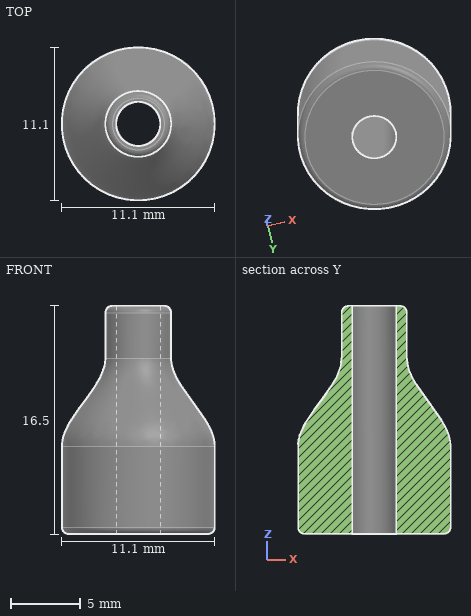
import cadquery as cq

body_diameter = 11.08
neck_diameter = 4.76
bore_diameter = 3.175
total_height = 16.51
shoulder_start = 6.35
shoulder_end = 12.7
edge_radius = 0.508

body_radius = body_diameter / 2
neck_radius = neck_diameter / 2
bore_radius = bore_diameter / 2


def revolved_reducer():
    """Body, S-shaped shoulder and neck, revolved about Z with a through bore."""
    handle = (shoulder_end - shoulder_start) / 3
    shoulder_curve = [
        (body_radius, shoulder_start),
        (body_radius, shoulder_start + handle),
        (neck_radius, shoulder_end - handle),
        (neck_radius, shoulder_end),
    ]
    profile = (
        cq.Workplane("XZ")
        .moveTo(bore_radius, 0)
        .lineTo(body_radius, 0)
        .lineTo(body_radius, shoulder_start)
        .bezier(shoulder_curve)
        .lineTo(neck_radius, total_height)
        .lineTo(bore_radius, total_height)
        .close()
    )
    return profile.revolve(360, (0, 0, 0), (0, 1, 0))


def round_outer_edges(part):
    """Round the outer rim at the bottom of the body and the top of the neck."""
    outer_rim = cq.selectors.RadiusNthSelector(-1)
    part = part.faces("<Z").edges(outer_rim).fillet(edge_radius)
    return part.faces(">Z").edges(outer_rim).fillet(edge_radius)


result = round_outer_edges(revolved_reducer())